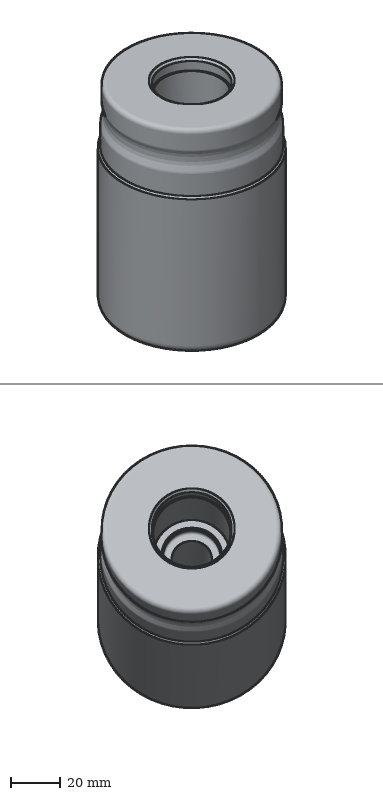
import cadquery as cq

total_height = 107.9
collar_height = 31.5
base_height = total_height - collar_height

base_radius = 38.1
base_bottom_fillet = 4.0
base_top_chamfer = 1.0
through_hole_radius = 8.2
seat_radius = 11.7
seat_depth = 3.2
seat_floor_fillet = 1.0
rim_recess_radius = 12.3
rim_recess_depth = 1.1

collar_radius = 37.1
head_radius = 36.6
head_fillet = 2.0
bore_radius = 15.7
counterbore_radius = 16.2
counterbore_depth = 5.7
mouth_chamfer = 1.2

groove_radius = 35.6
groove_start = 10.1
groove_floor_start = 12.8
groove_floor_end = 17.0
groove_end = 20.6
groove_floor_fillet = 4.3
groove_lip_fillet = 2.0

EDGE_TOLERANCE = 0.01


def fillet_rings(body, heights, radius):
    """Round the circular edges that lie at the given heights."""
    rings = body.edges().filter(
        lambda edge: any(abs(edge.Center().z - z) < EDGE_TOLERANCE for z in heights)
    )
    return rings.fillet(radius)


def make_base():
    """Cylinder with a stepped, round-cornered seat in its top face and a hole right through."""
    base = cq.Workplane("XY").circle(base_radius).extrude(base_height)
    base = base.faces("<Z").edges().fillet(base_bottom_fillet)
    base = base.faces(">Z").edges().chamfer(base_top_chamfer)

    recess_z = base_height - rim_recess_depth
    seat_z = recess_z - seat_depth
    rim_recess = (
        cq.Workplane("XY", origin=(0, 0, recess_z))
        .circle(rim_recess_radius)
        .extrude(rim_recess_depth)
    )
    seat = (
        cq.Workplane("XY", origin=(0, 0, seat_z))
        .circle(seat_radius)
        .extrude(seat_depth)
        .faces("<Z")
        .edges()
        .fillet(seat_floor_fillet)
    )
    base = base.cut(rim_recess).cut(seat)

    through_hole = cq.Workplane("XY").circle(through_hole_radius).extrude(base_height)
    return base.cut(through_hole)


def make_collar():
    """Revolved ring with a rounded groove outside and a stepped bore."""
    start_z = total_height - groove_start
    floor_start_z = total_height - groove_floor_start
    floor_end_z = total_height - groove_floor_end
    end_z = total_height - groove_end
    counterbore_z = total_height - counterbore_depth

    profile = [
        (bore_radius, base_height),
        (bore_radius, counterbore_z),
        (counterbore_radius, counterbore_z),
        (counterbore_radius, total_height - mouth_chamfer),
        (counterbore_radius + mouth_chamfer, total_height),
        (head_radius, total_height),
        (head_radius, start_z),
        (groove_radius, floor_start_z),
        (groove_radius, floor_end_z),
        (collar_radius, end_z),
        (collar_radius, base_height),
    ]
    collar = cq.Workplane("XZ").polyline(profile).close().revolve(360, (0, 0), (0, 1))
    collar = fillet_rings(collar, [floor_start_z, floor_end_z], groove_floor_fillet)
    collar = fillet_rings(collar, [start_z, end_z], groove_lip_fillet)
    return collar.faces(">Z").edges(cq.selectors.RadiusNthSelector(-1)).fillet(head_fillet)


base = make_base()
collar = make_collar()

result = cq.Compound.makeCompound([base.solids().val(), collar.solids().val()])